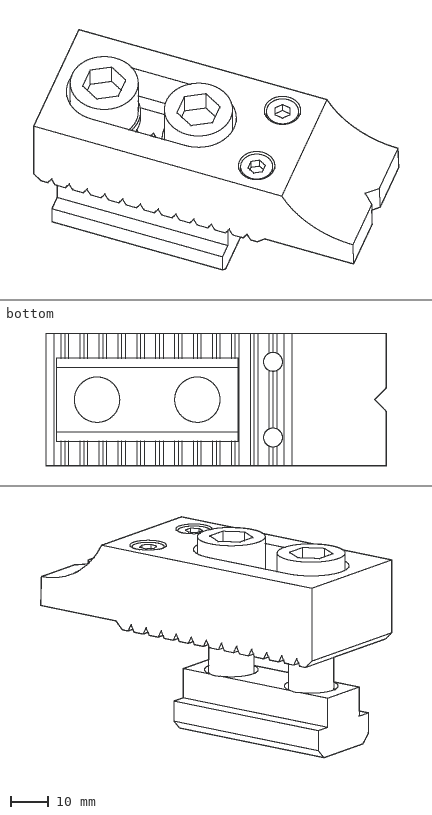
import cadquery as cq
import math

CLAMP_LENGTH = 90.0
CLAMP_WIDTH = 35.0
CLAMP_TOP = 49.0
SOLE_Z = 29.0
TOOTH_HEIGHT = 2.1
TOOTH_Z = SOLE_Z - TOOTH_HEIGHT
TOOTH_PITCH = 5.0
GROOVE_COUNT = 12
GROOVE_HALF_WIDTH = 1.0
GROOVE_DEPTH = 1.95
RACK_LENGTH = (GROOVE_COUNT + 1) * TOOTH_PITCH

NOSE_START_X = 69.8
NOSE_HEIGHT = 8.0
NOSE_TOP_Z = SOLE_Z + NOSE_HEIGHT
NOSE_RADIUS = 22.5
NOSE_DRAFT = 1.5
NOSE_TOP_X = CLAMP_LENGTH - NOSE_HEIGHT * math.tan(math.radians(NOSE_DRAFT))
NOTCH_DEPTH = 3.1

BOLT_SPACING = 26.5
BOLT_MID_X = 26.75
BOLT_XS = [BOLT_MID_X - BOLT_SPACING / 2, BOLT_MID_X + BOLT_SPACING / 2]
SHANK_DIAMETER = 12.0
HEAD_DIAMETER = 18.0
HEAD_HEIGHT = 12.0
FLANGE_DIAMETER = 19.2
FLANGE_HEIGHT = 2.5
HEAD_TOP_Z = 52.5
FLANGE_TOP_Z = HEAD_TOP_Z - HEAD_HEIGHT
SEAT_Z = FLANGE_TOP_Z - FLANGE_HEIGHT
BOLT_HEX = 10.0
BOLT_HEX_DEPTH = 6.0
HEAD_SLOT_WIDTH = 20.0
SHANK_SLOT_WIDTH = 12.8

NUT_LENGTH = 48.0
NUT_WIDTH = 22.0
NUT_HEIGHT = 16.0
NECK_WIDTH = 13.8
FLANK_HEIGHT = 8.0
NUT_CHAMFER = 2.5
NUT_HOLE_MOUTH = 14.2

CAP_SCREW_X = 60.0
CAP_SCREW_Y = 10.0
CAP_SCREWS = [(-CAP_SCREW_Y, 0.0), (CAP_SCREW_Y, 20.0)]
CAP_HEAD_DIAMETER = 8.5
CAP_HEAD_HEIGHT = 5.0
CAP_SHANK_DIAMETER = 5.0
CAP_RECESS = 0.4
CAP_TOP_Z = CLAMP_TOP - CAP_RECESS
CAP_SEAT_Z = CAP_TOP_Z - CAP_HEAD_HEIGHT
CAP_COUNTERBORE = 9.6
CAP_HEX = 4.0
CAP_HEX_DEPTH = 2.5


def cylinder(x, y, bottom, top, diameter):
    return cq.Workplane("XY", origin=(x, y, bottom)).circle(diameter / 2).extrude(top - bottom)


def hex_socket(x, y, top, across_flats, depth, turn=0.0):
    """Hexagonal pocket with two flats facing +X and -X, turned counterclockwise by `turn` degrees."""
    across_corners = across_flats / math.cos(math.pi / 6)
    hexagon = cq.Workplane("XY", origin=(x, y, top)).transformed(rotate=(0, 0, 90 + turn))
    return hexagon.polygon(6, across_corners).extrude(-depth)


def countersink(x, y, top, small_diameter, mouth_diameter):
    """45 degree cone that opens upwards to the mouth diameter."""
    depth = (mouth_diameter - small_diameter) / 2
    cone = cq.Solid.makeCone(
        small_diameter / 2, mouth_diameter / 2, depth, pnt=cq.Vector(x, y, top - depth)
    )
    return cq.Workplane(obj=cone)


def bolt_slot(bottom, top, width):
    slot = cq.Workplane("XY", origin=(BOLT_MID_X, 0, bottom))
    return slot.slot2D(BOLT_SPACING + width, width).extrude(top - bottom)


def nose_arc_middle():
    """Middle point of the hollow arc from the top face to the nose tip."""
    run = NOSE_TOP_X - NOSE_START_X
    fall = CLAMP_TOP - NOSE_TOP_Z
    chord = math.hypot(run, fall)
    sagitta = NOSE_RADIUS - math.sqrt(NOSE_RADIUS**2 - (chord / 2) ** 2)
    x = (NOSE_START_X + NOSE_TOP_X) / 2 - sagitta * fall / chord
    z = (CLAMP_TOP + NOSE_TOP_Z) / 2 - sagitta * run / chord
    return x, z


def make_clamp():
    body = (
        cq.Workplane("XZ", origin=(0, CLAMP_WIDTH / 2, 0))
        .moveTo(0, SOLE_Z)
        .lineTo(0, CLAMP_TOP)
        .lineTo(NOSE_START_X, CLAMP_TOP)
        .threePointArc(nose_arc_middle(), (NOSE_TOP_X, NOSE_TOP_Z))
        .lineTo(CLAMP_LENGTH, SOLE_Z)
        .lineTo(RACK_LENGTH, SOLE_Z)
        .lineTo(RACK_LENGTH - TOOTH_HEIGHT, TOOTH_Z)
        .lineTo(TOOTH_HEIGHT, TOOTH_Z)
        .close()
        .extrude(CLAMP_WIDTH)
    )
    for index in range(1, GROOVE_COUNT + 1):
        x = index * TOOTH_PITCH
        groove = (
            cq.Workplane("XZ", origin=(x, CLAMP_WIDTH / 2, TOOTH_Z))
            .polyline([(-GROOVE_HALF_WIDTH, 0), (0, GROOVE_DEPTH), (GROOVE_HALF_WIDTH, 0)])
            .close()
            .extrude(CLAMP_WIDTH)
        )
        body = body.cut(groove)
    notch = (
        cq.Workplane("XY", origin=(CLAMP_LENGTH, 0, SOLE_Z))
        .polyline([(-NOTCH_DEPTH, 0), (0, NOTCH_DEPTH), (0, -NOTCH_DEPTH)])
        .close()
        .extrude(CLAMP_TOP - SOLE_Z)
    )
    body = body.cut(notch)
    body = body.cut(bolt_slot(SEAT_Z, CLAMP_TOP, HEAD_SLOT_WIDTH))
    body = body.cut(bolt_slot(TOOTH_Z, SEAT_Z, SHANK_SLOT_WIDTH))
    for y, _ in CAP_SCREWS:
        body = body.cut(cylinder(CAP_SCREW_X, y, CAP_SEAT_Z, CLAMP_TOP, CAP_COUNTERBORE))
        body = body.cut(cylinder(CAP_SCREW_X, y, TOOTH_Z, CAP_SEAT_Z, CAP_SHANK_DIAMETER))
    return body


def make_nut():
    half_profile = [
        (0, 0),
        (NUT_WIDTH / 2 - NUT_CHAMFER, 0),
        (NUT_WIDTH / 2, NUT_CHAMFER),
        (NUT_WIDTH / 2, FLANK_HEIGHT),
        (NECK_WIDTH / 2, FLANK_HEIGHT),
        (NECK_WIDTH / 2, NUT_HEIGHT),
        (0, NUT_HEIGHT),
    ]
    nut = (
        cq.Workplane("YZ", origin=(BOLT_MID_X - NUT_LENGTH / 2, 0, 0))
        .polyline(half_profile)
        .mirrorY()
        .extrude(NUT_LENGTH)
    )
    for x in BOLT_XS:
        nut = nut.cut(cylinder(x, 0, 0, NUT_HEIGHT, SHANK_DIAMETER))
        nut = nut.cut(countersink(x, 0, NUT_HEIGHT, SHANK_DIAMETER, NUT_HOLE_MOUTH))
    return nut


def make_bolt(x):
    shank = cylinder(x, 0, 0, SEAT_Z, SHANK_DIAMETER)
    flange = cylinder(x, 0, SEAT_Z, FLANGE_TOP_Z, FLANGE_DIAMETER)
    head = cylinder(x, 0, FLANGE_TOP_Z, HEAD_TOP_Z, HEAD_DIAMETER)
    socket = hex_socket(x, 0, HEAD_TOP_Z, BOLT_HEX, BOLT_HEX_DEPTH)
    return shank.union(flange).union(head).cut(socket)


def make_cap_screw(y, socket_turn):
    shank = cylinder(CAP_SCREW_X, y, SOLE_Z, CAP_SEAT_Z, CAP_SHANK_DIAMETER)
    head = cylinder(CAP_SCREW_X, y, CAP_SEAT_Z, CAP_TOP_Z, CAP_HEAD_DIAMETER)
    socket = hex_socket(CAP_SCREW_X, y, CAP_TOP_Z, CAP_HEX, CAP_HEX_DEPTH, socket_turn)
    return shank.union(head).cut(socket)


clamp = make_clamp()
nut = make_nut()
bolts = [make_bolt(x) for x in BOLT_XS]
cap_screws = [make_cap_screw(y, socket_turn) for y, socket_turn in CAP_SCREWS]

bodies = [clamp, nut, *bolts, *cap_screws]
result = cq.Compound.makeCompound([body.val() for body in bodies])